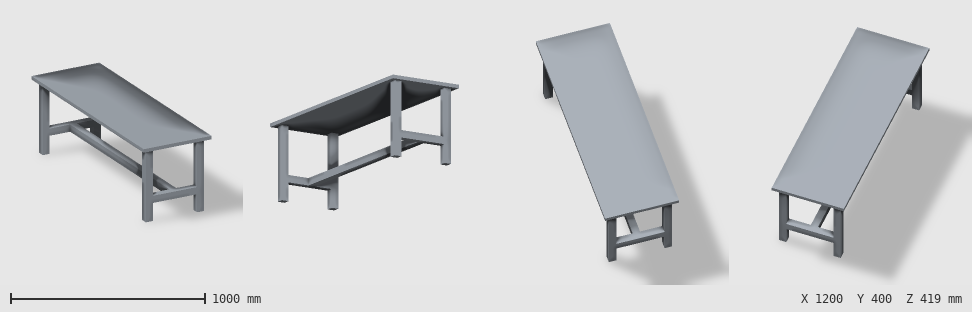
import cadquery as cq

length = 1200.0
width = 400.0
height = 419.0
top_thickness = 19.0

leg_side = 41.0
leg_inset = 29.0
leg_height = height - top_thickness
leg_x = length / 2 - leg_inset - leg_side / 2
leg_y = width / 2 - leg_inset - leg_side / 2

rail_bottom = 100.0
rail_side = 40.0
stretcher_offset = 10.0


def bar(size_x, size_y, size_z, x, bottom):
    """Box centred on Y = 0, with its centre at x and its underside at bottom."""
    box = cq.Workplane("XY").box(size_x, size_y, size_z, centered=(True, True, False))
    return box.translate((x, 0, bottom))


bench_top = bar(length, width, top_thickness, 0, leg_height)

legs = (
    cq.Workplane("XY")
    .rect(2 * leg_x, 2 * leg_y, forConstruction=True)
    .vertices()
    .rect(leg_side, leg_side)
    .extrude(leg_height)
)

stretcher = bar(2 * leg_x, rail_side, rail_side, 0, rail_bottom).translate((0, stretcher_offset, 0))

result = bench_top.union(legs).union(stretcher)
for end_x in (-leg_x, leg_x):
    result = result.union(bar(leg_side, 2 * leg_y, rail_side, end_x, rail_bottom))